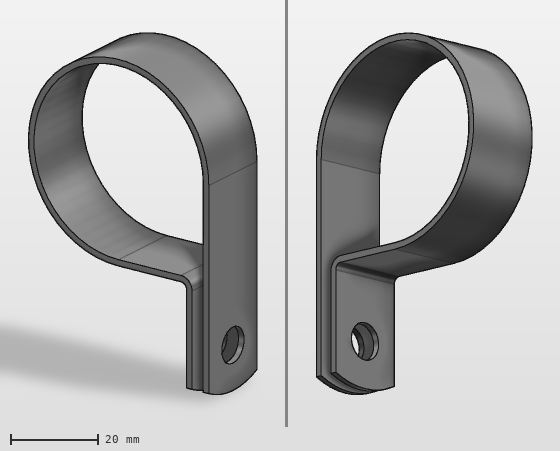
import cadquery as cq

height = 78.5
strap_width = 19.1
thickness = 1.6
outer_diameter = 50.6
outer_radius = outer_diameter / 2

leg_gap = 3.15
bend_outer_radius = 3.15
tip_drop = 2.2
hole_diameter = 8.8
hole_height = 11.15

inner_radius = outer_radius - thickness
bend_inner_radius = bend_outer_radius - thickness
bottom = outer_radius - height
leg_right = inner_radius - leg_gap
leg_left = leg_right - thickness
bend_x = leg_right - bend_outer_radius
bend_z = -inner_radius - bend_outer_radius


def make_strap():
    """Bent strip: straight leg, three-quarter loop, flat shelf and second leg."""
    diagonal = 0.5 ** 0.5
    outer_mid = outer_radius * diagonal
    inner_mid = inner_radius * diagonal
    bend_outer_mid = bend_outer_radius * diagonal
    bend_inner_mid = bend_inner_radius * diagonal
    return (
        cq.Workplane("XZ")
        .moveTo(outer_radius, bottom)
        .lineTo(outer_radius, 0)
        .threePointArc((-outer_mid, outer_mid), (0, -outer_radius))
        .lineTo(bend_x, -outer_radius)
        .threePointArc((bend_x + bend_inner_mid, bend_z + bend_inner_mid), (leg_left, bend_z))
        .lineTo(leg_left, bottom)
        .lineTo(leg_right, bottom)
        .lineTo(leg_right, bend_z)
        .threePointArc((bend_x + bend_outer_mid, bend_z + bend_outer_mid), (bend_x, -inner_radius))
        .lineTo(0, -inner_radius)
        .threePointArc((-inner_mid, inner_mid), (inner_radius, 0))
        .lineTo(inner_radius, bottom)
        .close()
        .extrude(strap_width / 2, both=True)
    )


def make_side_outline():
    """Block that gives both legs their rounded lower end."""
    half_width = strap_width / 2
    return (
        cq.Workplane("YZ")
        .moveTo(-half_width, outer_radius)
        .lineTo(-half_width, bottom + tip_drop)
        .threePointArc((0, bottom), (half_width, bottom + tip_drop))
        .lineTo(half_width, outer_radius)
        .close()
        .extrude(outer_radius, both=True)
    )


def make_bolt_hole():
    """Cylinder along X that passes through both legs."""
    return (
        cq.Workplane("YZ")
        .center(0, bottom + hole_height)
        .circle(hole_diameter / 2)
        .extrude(outer_radius)
    )


result = make_strap().intersect(make_side_outline()).cut(make_bolt_hole())